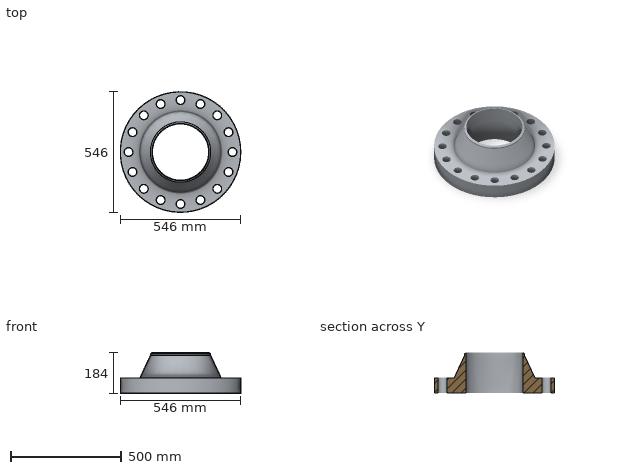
import cadquery as cq

flange_diameter = 546.0
flange_thickness = 70.0

bolt_hole_count = 16
bolt_circle_diameter = 470.0
bolt_hole_diameter = 38.0

overall_height = 184.0
hub_base_diameter = 368.0
hub_root_fillet = 2.0

neck_diameter = 273.0
neck_length = 12.0
bevel_height = 5.5
bore_diameter = 254.5
land_width = 2.0
land_diameter = bore_diameter + 2 * land_width
neck_start_height = overall_height - neck_length
bevel_start_height = overall_height - bevel_height


def make_flange_plate():
    return cq.Workplane("XY").circle(flange_diameter / 2).extrude(flange_thickness)


def make_hub():
    """Cone, short straight neck and weld bevel, as one profile turned about Z."""
    profile = (
        cq.Workplane("XZ")
        .moveTo(0, flange_thickness)
        .lineTo(hub_base_diameter / 2, flange_thickness)
        .lineTo(neck_diameter / 2, neck_start_height)
        .lineTo(neck_diameter / 2, bevel_start_height)
        .lineTo(land_diameter / 2, overall_height)
        .lineTo(0, overall_height)
        .close()
    )
    return profile.revolve(360, (0, 0, 0), (0, 1, 0))


def round_hub_root(body):
    """Fillet the inside corner where the cone meets the top of the plate."""
    smallest_circle = cq.selectors.RadiusNthSelector(0)
    plate_top = body.faces("+Z").faces("<Z")
    return plate_top.edges(smallest_circle).fillet(hub_root_fillet)


def make_bore():
    return cq.Workplane("XY").circle(bore_diameter / 2).extrude(overall_height)


def make_bolt_holes():
    return (
        cq.Workplane("XY")
        .polarArray(bolt_circle_diameter / 2, 0, 360, bolt_hole_count)
        .circle(bolt_hole_diameter / 2)
        .extrude(flange_thickness)
    )


body = round_hub_root(make_flange_plate().union(make_hub()))
result = body.cut(make_bore()).cut(make_bolt_holes())